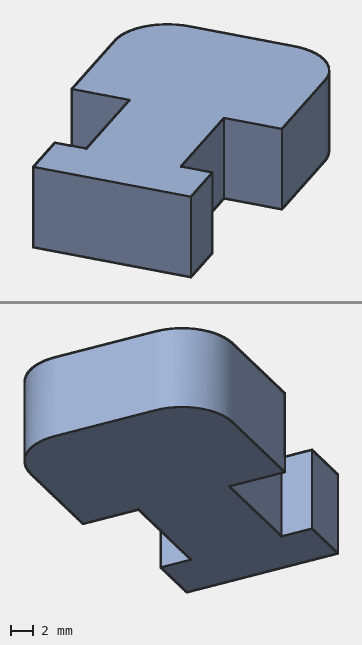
import cadquery as cq

thickness = 8.0
head_width = 20.0
head_length = 15.0
head_corner_radius = 5.0
stem_width = 9.0
stem_length = 10.0
foot_width = 15.0
foot_length = 5.0

stem_start = foot_length
head_start = stem_start + stem_length


def centred_block(width, length, start):
    """Full-thickness block, centred on X = 0, running along +Y from start."""
    block = cq.Workplane("XY").box(width, length, thickness, centered=(True, False, False))
    return block.translate((0, start, 0))


def make_head():
    """Head with its two far corners rounded."""
    head = centred_block(head_width, head_length, head_start)
    return head.faces(">Y").edges("|Z").fillet(head_corner_radius)


foot = centred_block(foot_width, foot_length, 0)
stem = centred_block(stem_width, stem_length, stem_start)

result = foot.union(stem).union(make_head())